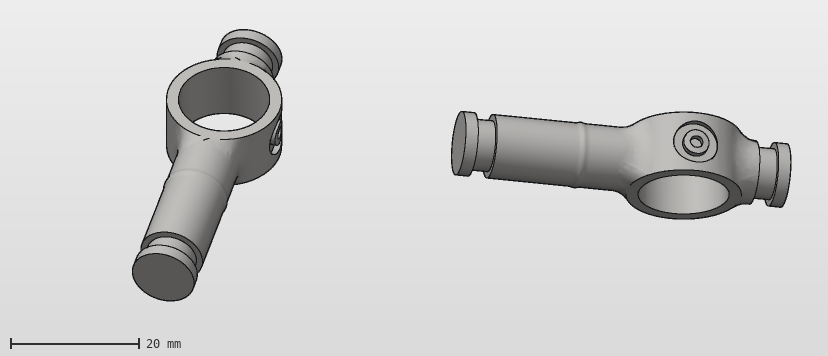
import cadquery as cq
import math

ring_radius = 9.0
bore_radius = 14.2 / 2
height = 10.0

arm_clearance = 0.0025
arm_radius = height / 2 - arm_clearance
neck_radius = 8.0 / 2
total_length = 52
rear_tip = 16.0
front_tip = rear_tip - total_length
flange_width = 2.0
neck_width = 3.0
blend_radius = 5.0

rear_shoulder = rear_tip - flange_width - neck_width
front_shoulder = front_tip + flange_width + neck_width

bead_y = -17.0
bead_height = 0.15
crown_radius = 1.0
bead_fillet_radius = 2 * crown_radius

recess_radius = 7.0 / 2
stud_radius = 2.05
stud_hole_radius = 2.0 / 2
recess_depth = 1.05


def upright_cylinder(radius):
    """Cylinder along Z, as tall as the ring and centred on the origin."""
    return cq.Workplane("XY").workplane(offset=-height / 2).circle(radius).extrude(height)


def rod(radius, y_start, y_end):
    """Solid cylinder along Y between two positions."""
    return cq.Workplane("XZ", origin=(0, y_end, 0)).circle(radius).extrude(y_end - y_start)


def blended_body():
    """Solid ring blank with both arms, filleted where they meet and cut off at the shoulders."""
    ring = upright_cylinder(ring_radius)
    body = ring.union(rod(arm_radius, front_shoulder, rear_tip))
    body = body.edges("%BSPLINE").fillet(blend_radius)
    envelope = cq.Workplane("XY").box(
        3 * ring_radius, rear_shoulder - front_shoulder, 2 * height
    )
    return body.intersect(envelope.translate((0, (rear_shoulder + front_shoulder) / 2, 0)))


def end_groove(shoulder, tip):
    """Neck and end flange, from a shoulder out to the tip of an arm."""
    outward = math.copysign(1, tip)
    flange_start = tip - outward * flange_width
    neck = rod(neck_radius, min(shoulder, tip), max(shoulder, tip))
    flange = rod(arm_radius, min(flange_start, tip), max(flange_start, tip))
    return neck.union(flange)


def bead():
    """Bead profile of tangent arcs, revolved about the arm axis."""
    turn = math.acos(1 - bead_height / (crown_radius + bead_fillet_radius))
    half_width = (crown_radius + bead_fillet_radius) * math.sin(turn)
    crest = arm_radius + bead_height

    def fillet_point(angle, side):
        x = arm_radius + bead_fillet_radius * (1 - math.cos(angle))
        return x, bead_y + side * (half_width - bead_fillet_radius * math.sin(angle))

    return (
        cq.Workplane("XY")
        .moveTo(0, bead_y - half_width)
        .lineTo(*fillet_point(0, -1))
        .threePointArc(fillet_point(turn / 2, -1), fillet_point(turn, -1))
        .threePointArc((crest, bead_y), fillet_point(turn, 1))
        .threePointArc(fillet_point(turn / 2, 1), fillet_point(0, 1))
        .lineTo(0, bead_y + half_width)
        .close()
        .revolve(360, (0, 0, 0), (0, 1, 0))
    )


def side_recess():
    """Cutter for the annular recess and the hole in its stud."""
    floor = cq.Workplane("YZ", origin=(ring_radius - recess_depth, 0, 0))
    annulus = floor.circle(recess_radius).circle(stud_radius).extrude(2 * recess_depth)
    stud_hole = floor.circle(stud_hole_radius).extrude(2 * recess_depth)
    return annulus.union(stud_hole)


result = (
    blended_body()
    .union(end_groove(rear_shoulder, rear_tip))
    .union(end_groove(front_shoulder, front_tip))
    .union(bead())
    .cut(upright_cylinder(bore_radius))
    .cut(side_recess())
)